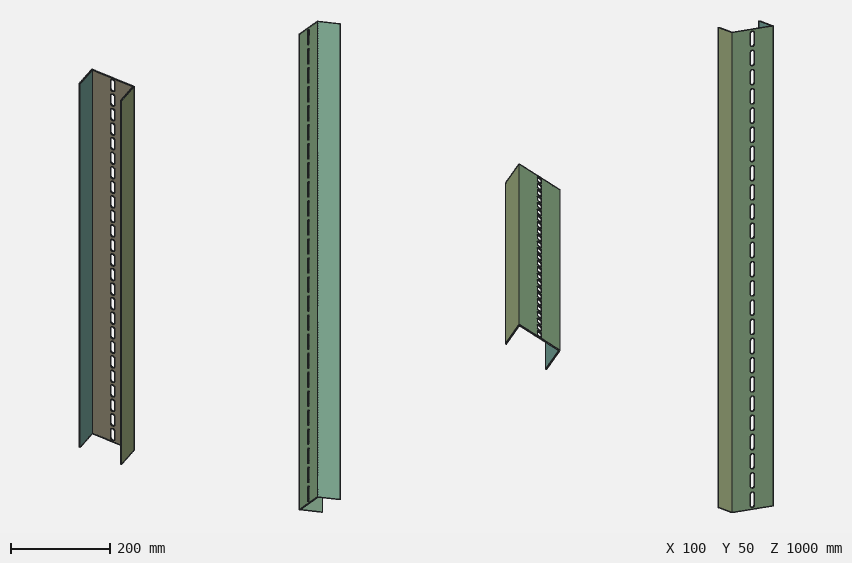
import cadquery as cq

width = 100.0
depth = 50.0
length = 1000.0
thickness = 2.5

slot_count = 25
slot_pitch = length / slot_count
slot_length = 32.0
slot_width = 10.0


def make_channel():
    """U-shaped channel standing on Z = 0, centred on X, open towards -Y."""
    outer = cq.Workplane("XY").box(width, depth, length, centered=(True, False, False))
    inner_width = width - 2 * thickness
    inner_depth = depth - thickness
    inner = cq.Workplane("XY").box(inner_width, inner_depth, length, centered=(True, False, False))
    return outer.cut(inner)


def make_slots():
    """Rounded slots, upright along Z, reaching right through the web."""
    return (
        cq.Workplane("XZ", origin=(0, depth, length / 2))
        .rarray(1, slot_pitch, 1, slot_count)
        .slot2D(slot_length, slot_width, angle=90)
        .extrude(thickness)
    )


result = make_channel().cut(make_slots())